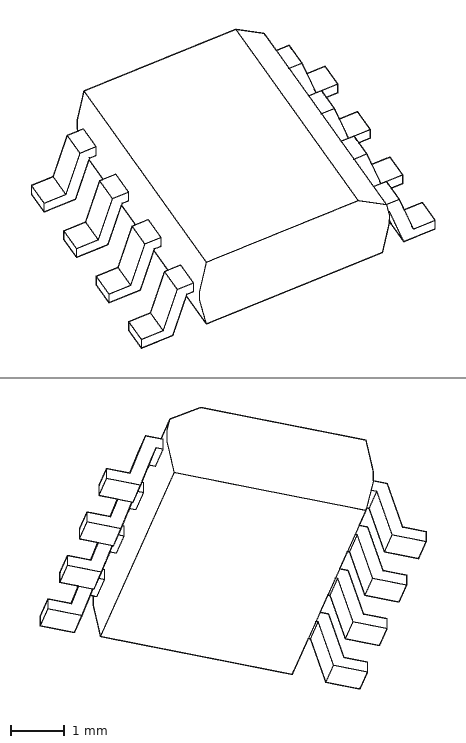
import cadquery as cq

body_length = 4.8
lead_span = 6.2
overall_height = 2.0

body_width = 4.005
face_width = 3.72
standoff = 0.255
bevel_bottom_z = 1.56
bevel_top_y = 1.345

lead_thickness = 0.25
lead_width = 0.5
lead_pitch = 1.27
leads_per_side = 4
shoulder_top_z = 1.25
shoulder_top_y = 2.345
shoulder_bottom_y = 2.14
foot_top_y = 2.64
foot_bottom_y = 2.435
lead_embed = 0.25

shoulder_bottom_z = shoulder_top_z - lead_thickness


def extrude_along_x(points, length):
    """Extrude a Y-Z outline symmetrically about the plane X = 0."""
    return cq.Workplane("YZ").polyline(points).close().extrude(length / 2, both=True)


def make_body():
    """Body with tapered sides and a pin-1 bevel along its +Y top edge."""
    half_width = body_width / 2
    half_face = face_width / 2
    side_taper = (half_width - half_face) / (overall_height - shoulder_top_z)
    bevel_bottom_y = half_width - side_taper * (bevel_bottom_z - shoulder_top_z)
    outline = [
        (-half_face, standoff),
        (half_face, standoff),
        (half_width, shoulder_bottom_z),
        (half_width, shoulder_top_z),
        (bevel_bottom_y, bevel_bottom_z),
        (bevel_top_y, overall_height),
        (-half_face, overall_height),
        (-half_width, shoulder_top_z),
        (-half_width, shoulder_bottom_z),
    ]
    return extrude_along_x(outline, body_length)


def make_lead():
    """Gull-wing lead on the +Y side, centred on X = 0."""
    root_y = body_width / 2 - lead_embed
    tip_y = lead_span / 2
    outline = [
        (root_y, shoulder_top_z),
        (shoulder_top_y, shoulder_top_z),
        (foot_top_y, lead_thickness),
        (tip_y, lead_thickness),
        (tip_y, 0),
        (foot_bottom_y, 0),
        (shoulder_bottom_y, shoulder_bottom_z),
        (root_y, shoulder_bottom_z),
    ]
    return extrude_along_x(outline, lead_width)


result = make_body()
lead = make_lead()
opposite_lead = lead.mirror("XZ")
for index in range(leads_per_side):
    lead_x = (index - (leads_per_side - 1) / 2) * lead_pitch
    result = result.union(lead.translate((lead_x, 0, 0)))
    result = result.union(opposite_lead.translate((lead_x, 0, 0)))